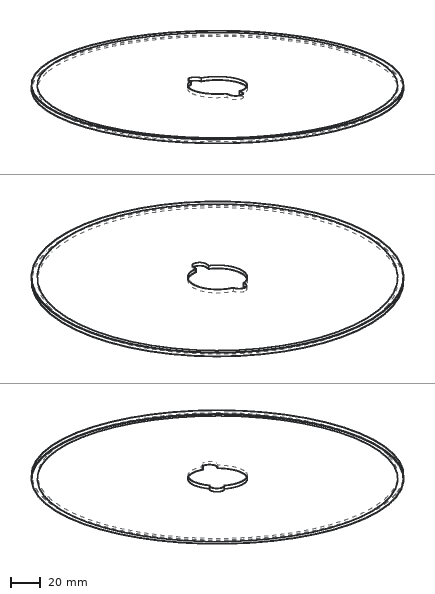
import cadquery as cq
import math

outer_diameter = 250.0
plate_thickness = 2.5
face_rise = 0.28
rim_thickness = plate_thickness + 2 * face_rise

rim_inner_diameter = 242.0
edge_chamfer = 0.2

bore_diameter = 40.0
notch_width = 10.0
slot_end_center = 22.8
side_notch_distance = 20.0
side_notch_angle = 195.0


def cylinder(diameter):
    """Disc of plate thickness, centred on the XY plane."""
    return cq.Workplane("XY").circle(diameter / 2).extrude(plate_thickness / 2, both=True)


def make_opening():
    """Round bore with a round-ended slot toward +X and a round notch toward -X."""
    slot = (
        cq.Workplane("XY")
        .center(slot_end_center / 2, 0)
        .slot2D(slot_end_center + notch_width, notch_width)
        .extrude(plate_thickness / 2, both=True)
    )
    angle = math.radians(side_notch_angle)
    side_notch = cylinder(notch_width).translate(
        (side_notch_distance * math.cos(angle), side_notch_distance * math.sin(angle), 0)
    )
    return cylinder(bore_diameter).union(slot).union(side_notch)


def make_plate():
    """Flat plate with the keyed opening in its middle."""
    return cylinder(rim_inner_diameter).cut(make_opening())


def make_rim():
    """Ring whose two faces flare apart toward the outside, with chamfered outer edges."""
    inner_radius = rim_inner_diameter / 2
    outer_radius = outer_diameter / 2
    face_radius = outer_radius - edge_chamfer
    face_height = rim_thickness / 2
    wall_height = face_height - edge_chamfer
    return (
        cq.Workplane("XZ")
        .moveTo(inner_radius, -plate_thickness / 2)
        .lineTo(face_radius, -face_height)
        .lineTo(outer_radius, -wall_height)
        .lineTo(outer_radius, wall_height)
        .lineTo(face_radius, face_height)
        .lineTo(inner_radius, plate_thickness / 2)
        .close()
        .revolve(360, (0, 0, 0), (0, 1, 0))
    )


plate = make_plate()
rim = make_rim()
result = cq.Compound.makeCompound([plate.val(), rim.val()])